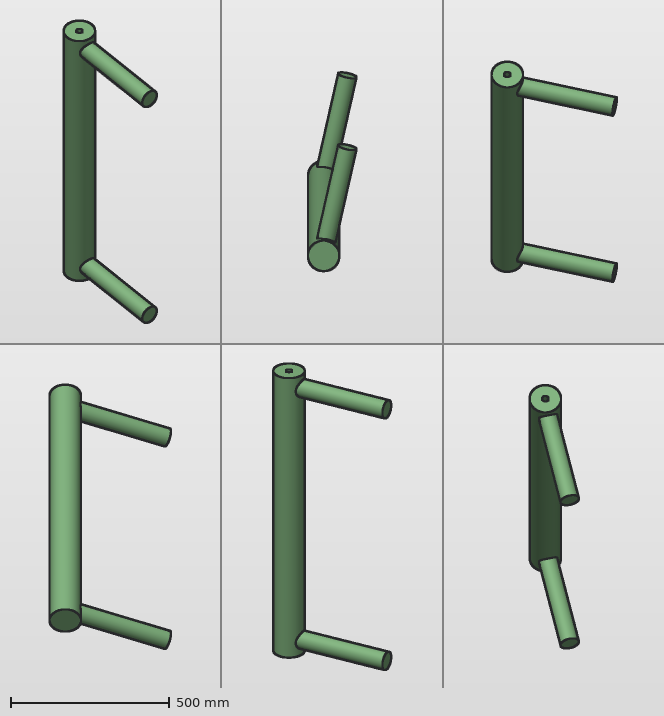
import cadquery as cq

bar_length = 1000.0
bar_diameter = 100.0
arm_diameter = 60.0
arm_end_offset = 50.0
overall_width = 400.0
hole_diameter = 20.0
hole_depth = 50.0

arm_tip_x = overall_width - bar_diameter / 2


def make_arm(height):
    """Round arm from the bar axis out to the tip, at the given height."""
    return cq.Workplane("YZ").center(0, height).circle(arm_diameter / 2).extrude(arm_tip_x)


result = cq.Workplane("XY").circle(bar_diameter / 2).extrude(bar_length)
for arm_height in (arm_end_offset, bar_length - arm_end_offset):
    result = result.union(make_arm(arm_height))

end_hole = (
    cq.Workplane("XY")
    .workplane(offset=bar_length - hole_depth)
    .circle(hole_diameter / 2)
    .extrude(hole_depth)
)
result = result.cut(end_hole)